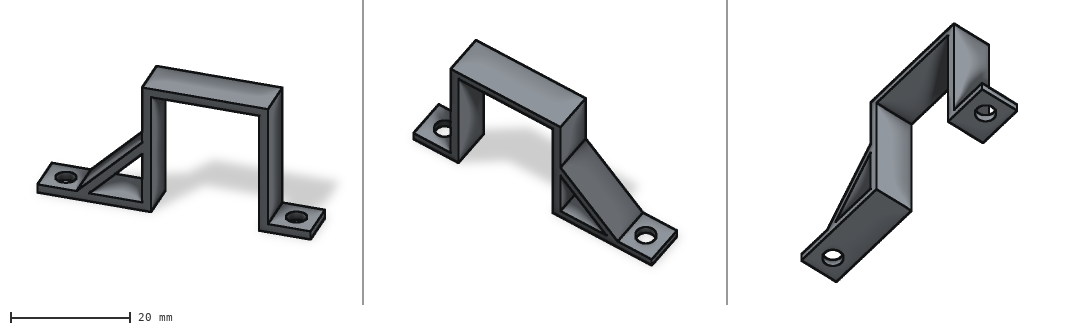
import cadquery as cq
import math

length = 48.2
depth = 7.5
height = 23.85
thickness = 1.6
right_flange = 7.5
arch_width = 22.2
brace_leg = 11.55
hole_diameter = 3.5
hole_inset = depth / 2

arch_right = length - right_flange
arch_left = arch_right - arch_width
inner_brace_leg = brace_leg - thickness * math.sqrt(2)


def bracket_strip():
    """Arch with a flange on each side, bent from one constant-thickness strip."""
    outline = [
        (0, 0),
        (arch_left + thickness, 0),
        (arch_left + thickness, height - thickness),
        (arch_right - thickness, height - thickness),
        (arch_right - thickness, 0),
        (length, 0),
        (length, thickness),
        (arch_right, thickness),
        (arch_right, height),
        (arch_left, height),
        (arch_left, thickness),
        (0, thickness),
    ]
    return cq.Workplane("XZ").polyline(outline).close().extrude(-depth)


def diagonal_brace():
    """Sloping strip between the left flange and the left wall."""
    outline = [
        (arch_left - brace_leg, thickness),
        (arch_left - inner_brace_leg, thickness),
        (arch_left, thickness + inner_brace_leg),
        (arch_left, thickness + brace_leg),
    ]
    return cq.Workplane("XZ").polyline(outline).close().extrude(-depth)


def flange_holes():
    """One vertical mounting hole through each flange."""
    centres = [(hole_inset, depth / 2), (length - hole_inset, depth / 2)]
    return cq.Workplane("XY").pushPoints(centres).circle(hole_diameter / 2).extrude(thickness)


result = bracket_strip().union(diagonal_brace()).cut(flange_holes())